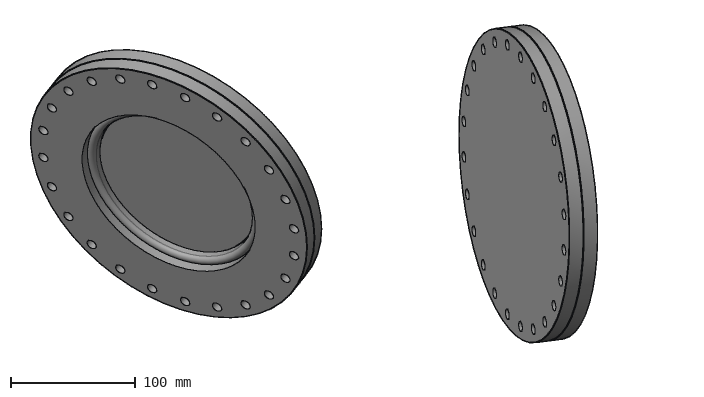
import cadquery as cq
flange_diameter = 254.0
assembly_thickness = 24.6
flange_thickness = assembly_thickness / 2
edge_chamfer = 0.5
front_y = -assembly_thickness / 2
joint_y = front_y + flange_thickness

bolt_circle_diameter = 231.8
bolt_hole_diameter = 8.4
bolt_count = 24
bolt_pitch_angle = 360 / bolt_count

seal_outer_diameter = 158.8
seal_inner_diameter = 143.76
seal_outer_radius = seal_outer_diameter / 2
seal_inner_radius = seal_inner_diameter / 2
nose_radius = (seal_outer_radius - seal_inner_radius) / 2
nose_center_radius = (seal_outer_radius + seal_inner_radius) / 2
nose_center_y = front_y + 9.8

floor_y = front_y + 14.4
floor_diameter = 142.3
groove_depth_below_floor = 2.0
groove_bottom_y = floor_y + groove_depth_below_floor


def cylinder(diameter, start_y, end_y):
    """Solid cylinder on the Y axis between two Y positions."""
    return (
        cq.Workplane("XZ", origin=(0, start_y, 0))
        .circle(diameter / 2)
        .extrude(start_y - end_y)
    )


def drilled_flange(start_y):
    """Plain chamfered disc with the bolt holes straddling the X and Z axes."""
    end_y = start_y + flange_thickness
    disc = cylinder(flange_diameter, start_y, end_y).edges().chamfer(edge_chamfer)
    bolt_holes = (
        cq.Workplane("XZ", origin=(0, start_y, 0))
        .polarArray(bolt_circle_diameter / 2, bolt_pitch_angle / 2, 360, bolt_count)
        .circle(bolt_hole_diameter / 2)
        .extrude(start_y - end_y)
    )
    return disc.cut(bolt_holes)


def make_front_flange():
    bore = cylinder(seal_outer_diameter, front_y, joint_y)
    return drilled_flange(front_y).cut(bore)


def make_rear_flange():
    recess = cylinder(seal_outer_diameter, joint_y, groove_bottom_y)
    raised_floor = cylinder(floor_diameter, floor_y, groove_bottom_y)
    return drilled_flange(joint_y).cut(recess.cut(raised_floor))


def make_seal_ring():
    return (
        cq.Workplane("XY")
        .moveTo(seal_inner_radius, groove_bottom_y)
        .lineTo(seal_inner_radius, nose_center_y)
        .threePointArc(
            (nose_center_radius, nose_center_y - nose_radius),
            (seal_outer_radius, nose_center_y),
        )
        .lineTo(seal_outer_radius, groove_bottom_y)
        .close()
        .revolve(360, (0, 0, 0), (0, 1, 0))
    )


front_flange = make_front_flange()
rear_flange = make_rear_flange()
seal_ring = make_seal_ring()

result = cq.Compound.makeCompound([front_flange.val(), rear_flange.val(), seal_ring.val()])